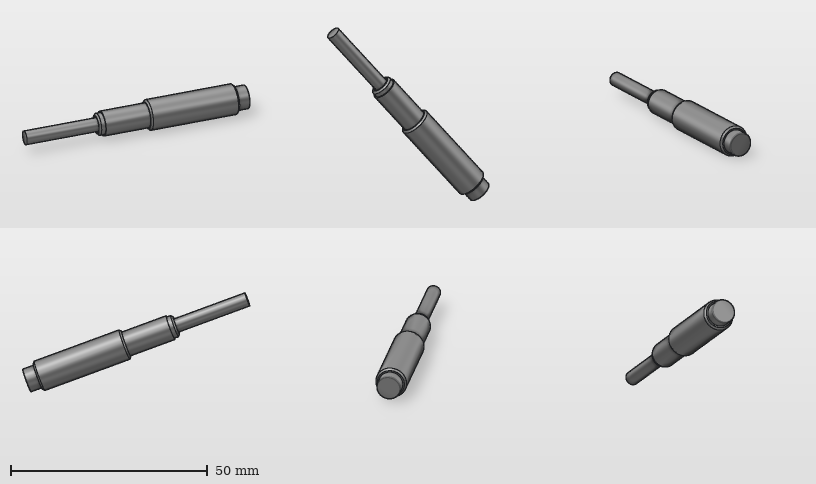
import cadquery as cq

total_length = 59.85

tip_diameter = 6.2
tip_length = 3.0
tip_fillet = 0.2

barrel_diameter = 8.0
barrel_length = 24.0
barrel_chamfer = 0.5

sleeve_diameter = 6.5
sleeve_length = 12.0

gland_diameter = 5.8
gland_length = 1.6
gland_chamfer = 0.5
mouth_diameter = 4.2

cable_diameter = 3.6

tip_face = total_length / 2
barrel_front = tip_face - tip_length
barrel_rear = barrel_front - barrel_length
sleeve_rear = barrel_rear - sleeve_length
gland_rear = sleeve_rear - gland_length
cable_end = -total_length / 2


def cylinder(diameter, y_start, y_end):
    """Solid cylinder on the Y axis between two stations."""
    profile = cq.Workplane("XZ", origin=(0, y_start, 0)).circle(diameter / 2)
    return profile.extrude(y_start - y_end)


def gland_mouth():
    """Conical ring around the cable, widening towards -Y at 45 degrees."""
    cable_radius = cable_diameter / 2
    mouth_radius = mouth_diameter / 2
    depth = mouth_radius - cable_radius
    corners = [
        (cable_radius, gland_rear),
        (mouth_radius, gland_rear),
        (cable_radius, gland_rear + depth),
    ]
    return cq.Workplane("XY").polyline(corners).close().revolve()


tip = cylinder(tip_diameter, barrel_front, tip_face).faces(">Y").fillet(tip_fillet)
barrel = cylinder(barrel_diameter, barrel_rear, barrel_front).faces("<Y or >Y").chamfer(barrel_chamfer)
sleeve = cylinder(sleeve_diameter, sleeve_rear, barrel_rear)
gland = cylinder(gland_diameter, gland_rear, sleeve_rear).faces("<Y").chamfer(gland_chamfer)
cable = cylinder(cable_diameter, cable_end, gland_rear)

result = tip.union(barrel).union(sleeve).union(gland).union(cable).cut(gland_mouth())